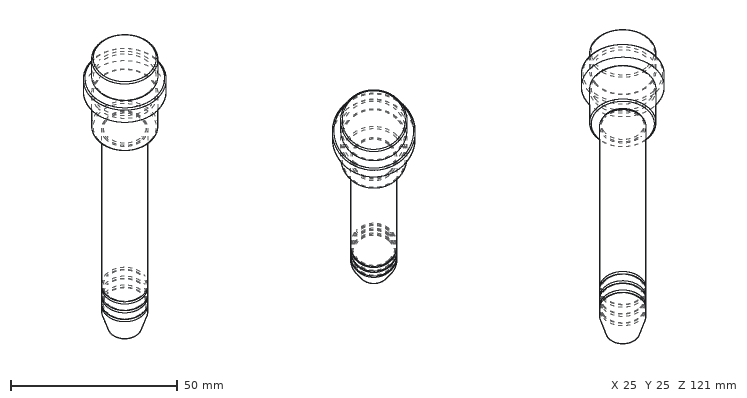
import cadquery as cq
import math

total_length = 121.0
head_diameter = 20.0
flange_diameter = 25.0
shank_diameter = 14.0

head_length = 9.0
flange_thickness = 6.0
shoulder_length = 16.0

edge_chamfer = 0.5
tip_fillet = 0.5

flange_relief_radius = 0.5

shank_relief_width = 1.0
shank_relief_depth = 0.5

taper_length = 7.0
taper_angle = 15.0

groove_count = 3
groove_pitch = 4.0
groove_radius = 0.5

head_radius = head_diameter / 2
flange_radius = flange_diameter / 2
shank_radius = shank_diameter / 2
shank_relief_radius = shank_radius - shank_relief_depth
tip_radius = shank_radius - taper_length * math.tan(math.radians(taper_angle))

flange_top = total_length - head_length
flange_bottom = flange_top - flange_thickness
shoulder_bottom = flange_bottom - shoulder_length
shank_relief_bottom = shoulder_bottom - shank_relief_width
lowest_groove_center = taper_length + groove_pitch - groove_radius


def turn(half_outline):
    """Revolve a closed outline in the XZ plane one full turn around the Z axis."""
    return half_outline.close().revolve(360, (0, 0, 0), (0, 1, 0))


def make_pin_body():
    """The stepped pin with its taper, edge breaks and the relief under the shoulder."""
    outline = cq.Workplane("XZ").polyline([
        (0, 0),
        (tip_radius, 0),
        (shank_radius, taper_length),
        (shank_radius, shank_relief_bottom),
        (shank_relief_radius, shank_relief_bottom),
        (shank_relief_radius, shoulder_bottom),
        (head_radius - edge_chamfer, shoulder_bottom),
        (head_radius, shoulder_bottom + edge_chamfer),
        (head_radius, flange_bottom),
        (flange_radius, flange_bottom),
        (flange_radius, flange_top - edge_chamfer),
        (flange_radius - edge_chamfer, flange_top),
        (head_radius, flange_top),
        (head_radius, total_length - edge_chamfer),
        (head_radius - edge_chamfer, total_length),
        (0, total_length),
    ])
    return turn(outline).faces("<Z").edges().fillet(tip_fillet)


def cut_round_groove(body, wall_radius, center, groove_size):
    """Cut a half-round ring groove of radius groove_size into a cylindrical wall."""
    outline = (
        cq.Workplane("XZ")
        .moveTo(wall_radius, center - groove_size)
        .threePointArc((wall_radius - groove_size, center), (wall_radius, center + groove_size))
    )
    return body.cut(turn(outline))


def cut_flange_reliefs(body):
    for center in (flange_top + flange_relief_radius, flange_bottom - flange_relief_radius):
        body = cut_round_groove(body, head_radius, center, flange_relief_radius)
    return body


def cut_shank_grooves(body):
    for index in range(groove_count):
        center = lowest_groove_center + index * groove_pitch
        body = cut_round_groove(body, shank_radius, center, groove_radius)
    return body


result = cut_shank_grooves(cut_flange_reliefs(make_pin_body()))